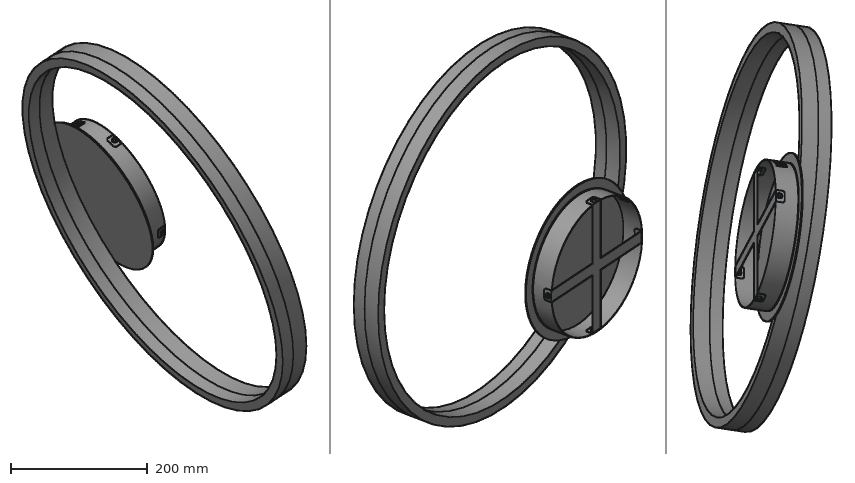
import cadquery as cq


ring_outer_diameter = 600
ring_inner_diameter = 570
ring_depth = 45
diffuser_depth = 20
housing_depth = ring_depth - diffuser_depth

cover_diameter = 250
cover_thickness = 2
canopy_diameter = 220
canopy_depth = 35
canopy_radius = canopy_diameter / 2
wall = 1
cover_overhang = 5
canopy_x = cover_diameter / 2 - ring_outer_diameter / 2 - cover_overhang
canopy_z = -130

cover_back = canopy_depth
ring_back = cover_back + cover_thickness
diffuser_back = ring_back + housing_depth

tab_width = 20
tab_length = 13.7
tab_corner = 2.5
tab_angles = (0, 90, 180, 270)

screw_from_wall = 5.5
shank_diameter = 4
shank_length = 8
head_diameter = 9
head_height = 1.6
head_rounding = 1.4

vent_count = 4
vent_pitch_angle = 4.7
vent_middle_angle = 135
vent_width = 4
vent_length = 16.5
vent_from_wall = 15.5


def disc(diameter, depth_start, thickness):
    """Disc about the Y axis whose back lies depth_start in front of the wall."""
    return cq.Workplane("XZ", origin=(0, -depth_start, 0)).circle(diameter / 2).extrude(thickness)


def tube(outer_diameter, inner_diameter, depth_start, length):
    """Plain ring about the Y axis."""
    return disc(outer_diameter, depth_start, length).cut(disc(inner_diameter, depth_start, length))


def around_axis(shape, angle):
    """Turn a shape from the +X side about the canopy axis; 90 degrees is the +Z side."""
    return shape.rotate((0, 0, 0), (0, 1, 0), -angle)


def at_canopy(shape):
    """Move a shape built about the Y axis to the canopy axis."""
    return shape.translate((canopy_x, 0, canopy_z))


def tab_block():
    """Radial block on the +X side with the outline of one tab, cutting across the canopy wall."""
    return (
        cq.Workplane("YZ", origin=(canopy_radius / 2, 0, 0))
        .center(-tab_length / 2, 0)
        .rect(tab_length, tab_width)
        .extrude(canopy_radius)
        .edges("|X and <Y")
        .chamfer(tab_corner)
    )


def make_canopy():
    """Round cup, open to the wall, with rim notches and vent slots."""
    floor_back = canopy_depth - wall
    canopy = disc(canopy_diameter, 0, canopy_depth)
    canopy = canopy.cut(disc(canopy_diameter - 2 * wall, 0, floor_back))
    for angle in tab_angles:
        canopy = canopy.cut(around_axis(tab_block(), angle))
    vent = (
        cq.Workplane("YZ", origin=(canopy_radius / 2, 0, 0))
        .center(-vent_from_wall, 0)
        .slot2D(vent_length, vent_width)
        .extrude(canopy_radius)
    )
    for index in range(vent_count):
        angle = vent_middle_angle + (index - (vent_count - 1) / 2) * vent_pitch_angle
        canopy = canopy.cut(around_axis(vent, angle))
    return at_canopy(canopy)


def make_bracket():
    """Cross of flat strips on the wall, with a curved tab at each end flush with the canopy."""
    envelope = disc(canopy_diameter, 0, tab_length)
    envelope = envelope.cut(disc(canopy_diameter - 2 * wall, wall, tab_length))
    screw_hole = (
        cq.Workplane("YZ", origin=(canopy_radius / 2, -screw_from_wall, 0))
        .circle(shank_diameter / 2)
        .extrude(canopy_radius)
    )
    strip_reach = canopy_radius + wall
    strip = cq.Workplane("XY").box(2 * strip_reach, wall, tab_width).translate((0, -wall / 2, 0))
    bracket = strip.union(around_axis(strip, 90))
    for angle in tab_angles:
        bracket = bracket.union(around_axis(tab_block(), angle))
    bracket = bracket.intersect(envelope)
    for angle in tab_angles:
        bracket = bracket.cut(around_axis(screw_hole, angle))
    return at_canopy(bracket)


def make_screw():
    """Round-headed screw on the +X side, its head seated on the tab."""
    seat = cq.Workplane("YZ", origin=(canopy_radius, -screw_from_wall, 0))
    head = seat.circle(head_diameter / 2).extrude(head_height).faces(">X").edges().fillet(head_rounding)
    shank = seat.circle(shank_diameter / 2).extrude(-shank_length)
    return head.union(shank)


housing = tube(ring_outer_diameter, ring_inner_diameter, ring_back, housing_depth)
diffuser = tube(ring_outer_diameter, ring_inner_diameter, diffuser_back, diffuser_depth)
cover = at_canopy(disc(cover_diameter, cover_back, cover_thickness))
canopy = make_canopy()
bracket = make_bracket()
screws = [at_canopy(around_axis(make_screw(), angle)) for angle in tab_angles]

result = cq.Compound.makeCompound(
    [
        housing.val(),
        diffuser.val(),
        cover.val(),
        canopy.val(),
        bracket.val(),
        *[screw.val() for screw in screws],
    ]
)